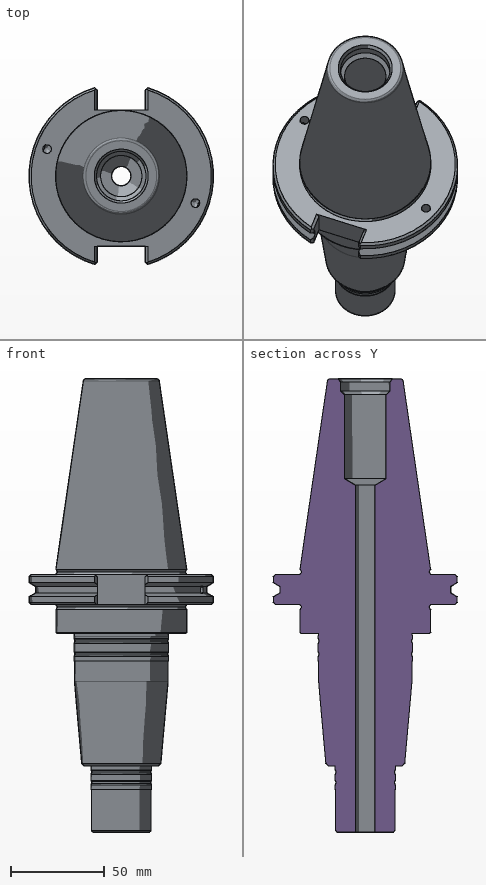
import cadquery as cq
import math


total_length = 242.0
gauge_z = 140.4
flange_top_z = 137.7
flange_bottom_z = 121.5
collar_bottom_z = 106.0
nose_taper_top_z = 80.5
nose_bottom_z = 35.3
nose_step_z = 91.5
pilot_step_z = 23.0

gauge_diameter = 70.0
taper_per_length = 7 / 24
taper_end_round = 1.5

flange_diameter = 98.5
flange_edge_chamfer = 1.2
undercut_depth = 0.85
undercut_cone_height = 1.5
undercut_foot_diameter = 70.2
groove_center_z = 129.5
groove_floor_diameter = 91.5
groove_floor_width = 3.5
groove_half_angle = 30

collar_diameter = gauge_diameter
collar_chamfer = 0.7
nose_diameter = 50.5
nose_step_diameter = 50.0
nose_end_diameter = 42.4
nose_relief_diameter = 50.0
nose_relief_height = 1.5
nose_end_chamfer = 1.5
pilot_diameter = 32.5
pilot_step_diameter = 32.0
tip_chamfer = 1.0

ring_groove_depth = 0.36
nose_groove_heights = (102.1, 95.0)
pilot_groove_heights = (32.2, 26.5)
ring_groove_width = 2.5
ring_groove_floor_width = 1.0

mouth_diameter = 28.8
mouth_depth = 1.7
pull_stud_diameter = 26.4
pull_stud_depth = 6.5
thread_diameter = 22.0
thread_shoulder_depth = 8.5
thread_depth = 53.2
coolant_diameter = 10.2
drill_half_angle = 59

slot_width = 25.5
slot_chamfer = 1.5
front_slot_floor = 37.5
back_slot_floor = 35.3
dimple_diameter = 12.3
dimple_depth = 9.7

outlet_angles = (160, 340)
outlet_circle_radius = 42.0
outlet_diameter = 4.5
outlet_depth = 9.7
cross_hole_diameter = 3.9


def revolved(profile):
    """Turn a closed (radius, height) outline about the Z axis."""
    return cq.Workplane("XZ").polyline(profile).close().revolve(360, (0, 0), (0, 1))


def turned_body():
    gauge_r = gauge_diameter / 2
    top_r = gauge_r - (total_length - gauge_z) * taper_per_length / 2
    flange_r = flange_diameter / 2
    collar_r = collar_diameter / 2
    neck_r = gauge_r - undercut_depth
    foot_r = undercut_foot_diameter / 2
    nose_end_r = nose_end_diameter / 2
    nose_end_chamfer_z = nose_bottom_z + nose_end_chamfer
    collar_top_z = flange_bottom_z - (gauge_z - flange_top_z)
    profile = [
        (0, total_length),
        (top_r, total_length),
        (gauge_r, gauge_z),
        (neck_r, gauge_z - undercut_cone_height),
        (foot_r, flange_top_z),
        (flange_r - flange_edge_chamfer, flange_top_z),
        (flange_r, flange_top_z - flange_edge_chamfer),
        (flange_r, flange_bottom_z + flange_edge_chamfer),
        (flange_r - flange_edge_chamfer, flange_bottom_z),
        (foot_r, flange_bottom_z),
        (neck_r, collar_top_z + undercut_cone_height),
        (collar_r, collar_top_z),
        (collar_r, collar_bottom_z + collar_chamfer),
        (collar_r - collar_chamfer, collar_bottom_z),
        (nose_relief_diameter / 2, collar_bottom_z),
        (nose_diameter / 2, collar_bottom_z - nose_relief_height),
        (nose_diameter / 2, nose_step_z),
        (nose_step_diameter / 2, nose_step_z),
        (nose_step_diameter / 2, nose_taper_top_z),
        (nose_end_r, nose_end_chamfer_z),
        (nose_end_r - nose_end_chamfer, nose_bottom_z),
        (pilot_diameter / 2, nose_bottom_z),
        (pilot_diameter / 2, pilot_step_z),
        (pilot_step_diameter / 2, pilot_step_z),
        (pilot_step_diameter / 2, tip_chamfer),
        (pilot_step_diameter / 2 - tip_chamfer, 0),
        (0, 0),
    ]
    return revolved(profile).faces(">Z").edges().fillet(taper_end_round)


def flange_groove():
    floor_r = groove_floor_diameter / 2
    outer_r = flange_diameter / 2
    half_floor = groove_floor_width / 2
    half_mouth = half_floor + (outer_r - floor_r) * math.tan(math.radians(groove_half_angle))
    return revolved([
        (floor_r, groove_center_z - half_floor),
        (outer_r, groove_center_z - half_mouth),
        (outer_r, groove_center_z + half_mouth),
        (floor_r, groove_center_z + half_floor),
    ])


def ring_groove(diameter, height):
    """Shallow groove with sloped sides around a cylinder."""
    radius = diameter / 2
    half_mouth = ring_groove_width / 2
    half_floor = ring_groove_floor_width / 2
    return revolved([
        (radius, height - half_mouth),
        (radius, height + half_mouth),
        (radius - ring_groove_depth, height + half_floor),
        (radius - ring_groove_depth, height - half_floor),
    ])


def stepped_bore():
    thread_end_z = total_length - thread_depth
    cone_height = (thread_diameter - coolant_diameter) / 2 / math.tan(math.radians(drill_half_angle))
    return revolved([
        (0, total_length),
        (mouth_diameter / 2, total_length),
        (pull_stud_diameter / 2, total_length - mouth_depth),
        (pull_stud_diameter / 2, total_length - pull_stud_depth),
        (thread_diameter / 2, total_length - thread_shoulder_depth),
        (thread_diameter / 2, thread_end_z),
        (coolant_diameter / 2, thread_end_z - cone_height),
        (coolant_diameter / 2, 0),
        (0, 0),
    ])


def drive_slot(floor_distance):
    """Slot through the flange on the -Y side, with chamfered top and outer edges."""
    half = slot_width / 2
    flange_r = flange_diameter / 2
    height = flange_top_z - flange_bottom_z
    corner_y = math.sqrt(flange_r**2 - (half + slot_chamfer) ** 2)
    top_profile = [
        (-half, flange_bottom_z),
        (half, flange_bottom_z),
        (half, flange_top_z - slot_chamfer),
        (half + slot_chamfer, flange_top_z),
        (-half - slot_chamfer, flange_top_z),
        (-half, flange_top_z - slot_chamfer),
    ]
    passage = (
        cq.Workplane("XZ", origin=(0, -floor_distance, 0))
        .polyline(top_profile).close().extrude(flange_r - floor_distance)
    )
    mouth_profile = [
        (-half, -corner_y + slot_chamfer),
        (half, -corner_y + slot_chamfer),
        (half + slot_chamfer, -corner_y),
        (half + slot_chamfer, -flange_r),
        (-half - slot_chamfer, -flange_r),
        (-half - slot_chamfer, -corner_y),
    ]
    mouth = (
        cq.Workplane("XY", origin=(0, 0, flange_bottom_z))
        .polyline(mouth_profile).close().extrude(height)
    )
    return passage.union(mouth)


def drilled_hole(diameter, depth):
    """Hole with a conical bottom, going down from the origin; the depth is that of its straight part."""
    radius = diameter / 2
    tip_depth = depth + radius / math.tan(math.radians(drill_half_angle))
    return revolved([(0, 0), (radius, 0), (radius, -depth), (0, -tip_depth)])


def dimple():
    """Drilled hole in the floor of the front drive slot."""
    hole = drilled_hole(dimple_diameter, dimple_depth).rotate((0, 0, 0), (1, 0, 0), -90)
    return hole.translate((0, -front_slot_floor, groove_center_z))


def coolant_outlet(angle):
    """Drilled hole in the flange face met by a radial hole from the groove floor."""
    axial = drilled_hole(outlet_diameter, outlet_depth).translate((outlet_circle_radius, 0, flange_top_z))
    radial = (
        cq.Workplane("YZ", origin=(outlet_circle_radius, 0, groove_center_z))
        .circle(cross_hole_diameter / 2).extrude(flange_diameter / 2 - outlet_circle_radius)
    )
    return axial.union(radial).rotate((0, 0, 0), (0, 0, 1), angle)


result = turned_body().cut(flange_groove()).cut(stepped_bore())
for height in nose_groove_heights:
    result = result.cut(ring_groove(nose_diameter, height))
for height in pilot_groove_heights:
    result = result.cut(ring_groove(pilot_diameter, height))
result = result.cut(drive_slot(front_slot_floor)).cut(dimple())
result = result.cut(drive_slot(back_slot_floor).rotate((0, 0, 0), (0, 0, 1), 180))
for angle in outlet_angles:
    result = result.cut(coolant_outlet(angle))